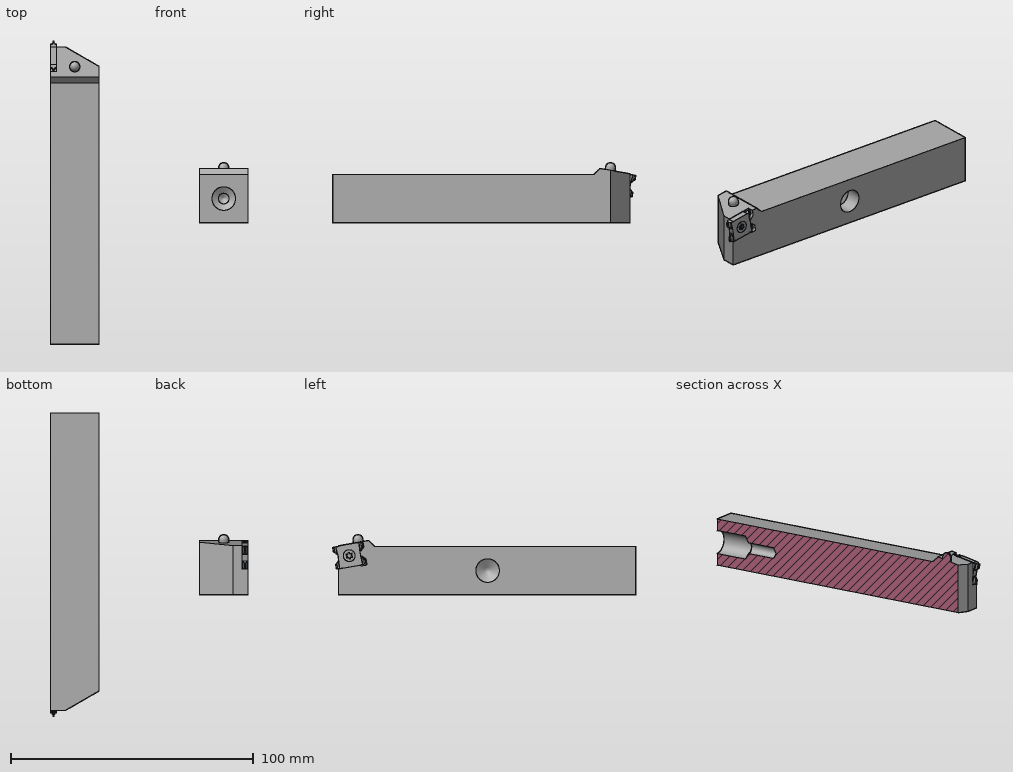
import cadquery as cq
import math

SHANK_SIZE = 20.0
TOTAL_LENGTH = 124.98
TOTAL_HEIGHT = 24.85
HOLDER_LENGTH = 122.6

HEAD_TILT = math.radians(10.0)
RAMP_START_Y = 107.6
RIDGE_Y = 110.2
RIDGE_Z = 22.45
NOSE_WIDTH = 6.1
NOSE_ANGLE = math.radians(30.0)

INLET_DIAMETER = 9.7
DUCT_DIAMETER = 4.4
HALF_POINT_ANGLE = math.radians(59.0)
REAR_INLET_DEPTH = 14.0
DUCT_DEPTH = 28.0
SIDE_INLET_DEPTH = 7.0
SIDE_INLET_Y = 61.1
BORE_Z = SHANK_SIZE / 2

NOZZLE_DIAMETER = 4.2
NOZZLE_STUB_LENGTH = 2.5
NOZZLE_X = SHANK_SIZE / 2
NOZZLE_Y = 114.5

INSERT_Y = 118.1
INSERT_Z = 16.15
INSERT_THICKNESS = 2.55
HALF_LENGTH = 4.85
HALF_HEIGHT = 4.65
WAIST_DEPTH = 0.25
RAKE_START = 3.75
RAKE_DROP = 0.1
TIP_ROOT_INNER = 1.4
TIP_EDGE_INNER = 2.7
TIP_ROOT_WIDTH = 1.6
TIP_EDGE_WIDTH = 0.5
TIP_LAND = 0.6
TIP_OVERLAP = 0.5
TIP_TOP = HALF_HEIGHT - RAKE_DROP
TIP_REACH = (TOTAL_LENGTH - INSERT_Y - TIP_TOP * math.sin(HEAD_TILT)) / math.cos(HEAD_TILT)

TIP_CLEARANCE = 0.4
POCKET_OPENING = 12.0

SCREW_HEAD_DIAMETER = 4.85
SCREW_HEAD_RIM = 0.6
SCREW_DIAMETER = 3.0
SCREW_LENGTH = 10.0
TORX_CORE_RADIUS = 0.85
TORX_LOBE_OFFSET = 0.95
TORX_LOBES = 6
TORX_LOBE_RADIUS = 0.35
TORX_DEPTH = 1.2


def insert_plane(depth=0.0):
    """Plane across the insert: local x runs forward and down, local y up, the normal along +X."""
    forward = (0, math.cos(HEAD_TILT), -math.sin(HEAD_TILT))
    return cq.Plane(origin=(depth, INSERT_Y, INSERT_Z), xDir=forward, normal=(1, 0, 0))


def drilled_hole(diameter, depth):
    """Round bore from the origin along +Z, ending in a drill point beyond its full depth."""
    radius = diameter / 2
    end = depth + radius / math.tan(HALF_POINT_ANGLE)
    profile = cq.Workplane("XZ").polyline([(0, 0), (radius, 0), (radius, depth), (0, end)]).close()
    return profile.revolve(360, (0, 0), (0, 1))


def insert_body():
    waist = HALF_LENGTH - WAIST_DEPTH
    outline = (
        cq.Workplane(insert_plane())
        .moveTo(HALF_LENGTH, HALF_HEIGHT)
        .lineTo(-HALF_LENGTH, HALF_HEIGHT)
        .threePointArc((-waist, 0), (-HALF_LENGTH, -HALF_HEIGHT))
        .lineTo(HALF_LENGTH, -HALF_HEIGHT)
        .threePointArc((waist, 0), (HALF_LENGTH, HALF_HEIGHT))
        .close()
    )
    return outline.extrude(INSERT_THICKNESS)


def tip_side_profile(end, level):
    """Side outline of one tip: end is +1 at the front and -1 at the rear, level +1 up and -1 down."""
    root = HALF_LENGTH - TIP_OVERLAP
    points = [
        (root, TIP_ROOT_INNER),
        (HALF_LENGTH, TIP_ROOT_INNER),
        (TIP_REACH, TIP_EDGE_INNER),
        (TIP_REACH, HALF_HEIGHT),
        (root, HALF_HEIGHT),
    ]
    placed = [(end * x, level * y) for x, y in points]
    return cq.Workplane(insert_plane()).polyline(placed).close()


def cutting_tip(end, level):
    """Tip that narrows from its root to a thin cutting edge midway through the insert."""
    half_root = TIP_ROOT_WIDTH / 2
    half_edge = TIP_EDGE_WIDTH / 2
    land_start = TIP_REACH - TIP_LAND
    half_plan = [
        (HALF_LENGTH - TIP_OVERLAP, half_root),
        (HALF_LENGTH, half_root),
        (land_start, half_edge),
        (TIP_REACH, half_edge),
    ]
    plan = half_plan + [(x, -y) for x, y in reversed(half_plan)]
    middle = insert_plane(INSERT_THICKNESS / 2)
    plan_plane = cq.Plane(origin=middle.origin, xDir=middle.xDir, normal=middle.yDir)
    wedge = (
        cq.Workplane(plan_plane)
        .polyline([(end * x, y) for x, y in plan])
        .close()
        .extrude(HALF_HEIGHT, both=True)
    )
    return tip_side_profile(end, level).extrude(INSERT_THICKNESS).intersect(wedge)


def rake_cut(end, level):
    """Shallow step that lowers the rake face of one tip below the insert's edge face."""
    length = TIP_REACH - RAKE_START
    centre = (end * (RAKE_START + length / 2), level * (TIP_TOP + RAKE_DROP / 2))
    return cq.Workplane(insert_plane()).center(*centre).rect(length, RAKE_DROP).extrude(INSERT_THICKNESS)


def make_insert(screw_hole):
    insert = insert_body()
    for end in (1, -1):
        for level in (1, -1):
            insert = insert.union(cutting_tip(end, level))
            insert = insert.cut(rake_cut(end, level))
    return insert.cut(screw_hole)


def screw_blank():
    """Countersunk screw without its drive, the head flush with the insert's side face."""
    head = SCREW_HEAD_DIAMETER / 2
    shank = SCREW_DIAMETER / 2
    cone_end = SCREW_HEAD_RIM + head - shank
    profile = [
        (0, 0),
        (0, head),
        (SCREW_HEAD_RIM, head),
        (cone_end, shank),
        (SCREW_LENGTH, shank),
        (SCREW_LENGTH, 0),
    ]
    axis_plane = cq.Workplane("XY", origin=(0, INSERT_Y, INSERT_Z))
    return axis_plane.polyline(profile).close().revolve(360, (0, 0), (1, 0))


def torx_recess():
    face = cq.Workplane(insert_plane())
    core = face.circle(TORX_CORE_RADIUS).extrude(TORX_DEPTH)
    lobes = (
        face.polarArray(TORX_LOBE_OFFSET, 90, 360, TORX_LOBES)
        .circle(TORX_LOBE_RADIUS)
        .extrude(TORX_DEPTH)
    )
    return core.union(lobes)


def holder_blank():
    nose_z = RIDGE_Z - (HOLDER_LENGTH - RIDGE_Y) * math.tan(HEAD_TILT)
    side = [
        (0, 0),
        (HOLDER_LENGTH, 0),
        (HOLDER_LENGTH, nose_z),
        (RIDGE_Y, RIDGE_Z),
        (RAMP_START_Y, SHANK_SIZE),
        (0, SHANK_SIZE),
    ]
    blank = cq.Workplane("YZ").polyline(side).close().extrude(SHANK_SIZE)
    corner_length = (SHANK_SIZE - NOSE_WIDTH) * math.tan(NOSE_ANGLE)
    corner = [
        (NOSE_WIDTH, HOLDER_LENGTH),
        (SHANK_SIZE, HOLDER_LENGTH),
        (SHANK_SIZE, HOLDER_LENGTH - corner_length),
    ]
    return blank.cut(cq.Workplane("XY").polyline(corner).close().extrude(TOTAL_HEIGHT))


def nozzle():
    """Round stub square to the sloping head face, with a hemispherical top."""
    radius = NOZZLE_DIAMETER / 2
    head_normal = (0, math.sin(HEAD_TILT), math.cos(HEAD_TILT))
    dome_centre = (NOZZLE_X, NOZZLE_Y, TOTAL_HEIGHT - radius)
    plane = cq.Plane(origin=dome_centre, xDir=(1, 0, 0), normal=head_normal)
    stub = cq.Workplane(plane).circle(radius).extrude(-NOZZLE_STUB_LENGTH)
    dome = cq.Workplane(plane).sphere(radius)
    return stub.union(dome)


def coolant_bores():
    inlet = drilled_hole(INLET_DIAMETER, REAR_INLET_DEPTH)
    duct = drilled_hole(DUCT_DIAMETER, DUCT_DEPTH)
    rear = inlet.union(duct).rotate((0, 0, 0), (1, 0, 0), -90).translate((SHANK_SIZE / 2, 0, BORE_Z))
    side = drilled_hole(INLET_DIAMETER, SIDE_INLET_DEPTH)
    side = side.rotate((0, 0, 0), (0, 1, 0), 90).translate((0, SIDE_INLET_Y, BORE_Z))
    return rear, side


def insert_pocket():
    """Seat open to the front and top, with relief lobes around the two rear tips."""
    seat = (
        cq.Workplane(insert_plane())
        .moveTo(POCKET_OPENING, -HALF_HEIGHT)
        .lineTo(POCKET_OPENING, POCKET_OPENING)
        .lineTo(-HALF_LENGTH, POCKET_OPENING)
        .lineTo(-HALF_LENGTH, HALF_HEIGHT)
        .threePointArc((WAIST_DEPTH - HALF_LENGTH, 0), (-HALF_LENGTH, -HALF_HEIGHT))
        .close()
        .extrude(INSERT_THICKNESS)
    )
    for level in (1, -1):
        seat = seat.union(tip_side_profile(-1, level).offset2D(TIP_CLEARANCE).extrude(INSERT_THICKNESS))
    return seat


def make_holder(screw_hole):
    holder = holder_blank().union(nozzle())
    for bore in coolant_bores():
        holder = holder.cut(bore)
    return holder.cut(insert_pocket()).cut(screw_hole)


blank = screw_blank()
holder = make_holder(blank)
insert = make_insert(blank)
screw = blank.cut(torx_recess())

result = cq.Compound.makeCompound([holder.val(), insert.val(), screw.val()])